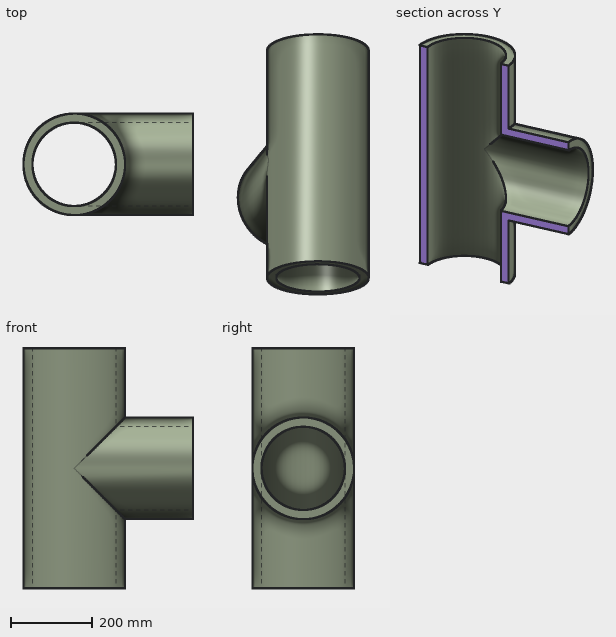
import cadquery as cq

outer_diameter = 250.0
wall_thickness = 22.7
run_length = 590.0
branch_reach = 292.0

bore_diameter = outer_diameter - 2 * wall_thickness


def run_cylinder(diameter):
    """Vertical cylinder along Z, centred on the origin."""
    return cq.Workplane("XY").circle(diameter / 2).extrude(run_length / 2, both=True)


def branch_cylinder(diameter):
    """Horizontal cylinder from the run axis out to the branch end."""
    return cq.Workplane("YZ").circle(diameter / 2).extrude(branch_reach)


body = run_cylinder(outer_diameter).union(branch_cylinder(outer_diameter))

bores = run_cylinder(bore_diameter).union(branch_cylinder(bore_diameter))

result = body.cut(bores)